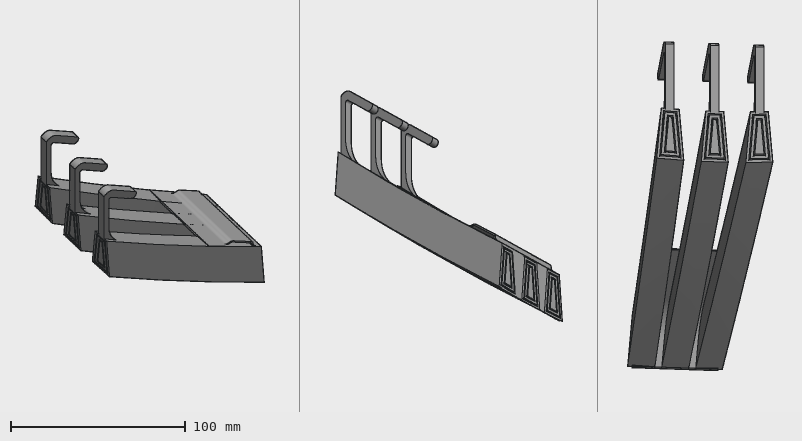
import cadquery as cq
import math

DEPTH = 118.8
FRONT_BOTTOM_Z = 99.7
SAG = 1.5
SECTION_HEIGHT = 29.4
SECTION_BOTTOM_WIDTH = 15.7
SECTION_TOP_WIDTH = 10.5
SHELL_WALL = 1.5
GAP = 0.76
RING_WALL = 1.7
SIDE_TAPER = (SECTION_BOTTOM_WIDTH - SECTION_TOP_WIDTH) / 2 / SECTION_HEIGHT
OVERRUN = 8.5

LEFT, MIDDLE, RIGHT = -1, 0, 1
LOOSE_SIDES = (LEFT, MIDDLE)
FAN_ANGLE = 3.0
HALF_WIDTH = 33.8
SIDE_X = HALF_WIDTH - SECTION_BOTTOM_WIDTH / 2
PIVOT_Y = SIDE_X / math.tan(math.radians(FAN_ANGLE))

TOTAL_HEIGHT = 169.0
HOOK_WIDTH = 5.0
HOOK_SPACING = 26.2
LEG_THICKNESS = 3.5
ARM_THICKNESS = 5.0
ARM_ANGLE = 40.0
BEND_Y = 3.9
BEND_Z = TOTAL_HEIGHT - ARM_THICKNESS
ARM_LENGTH = 20.6
HOOK_INNER_RADIUS = 1.2
HOOK_FOOT_RADIUS = 27.0
FOOT_SINK = 0.2

WEB_THICKNESS = 1.0
PLATE_ANGLE = 38.9
PLATE_BACK_Z = 30.2
PLATE_FRONT_Y = 78.5
WEB_RADIUS = 25.3
PLATE_SLOPE = math.tan(math.radians(PLATE_ANGLE))

BELT_WIDTH = 48.7
BELT_THICKNESS = 1.0
BELT_CENTRE_Y = 103.5
BELT_FLAT = 16.9
BELT_CREST_RADIUS = 3.7
BELT_FOOT_RADIUS = 4.2
BELT_BEND = 48.5


def underside_z(y):
    """Height of the middle finger's underside, a shallow parabola."""
    t = y / DEPTH
    return FRONT_BOTTOM_Z * (1 - t) - 4 * SAG * t * (1 - t)


def plate_top_z(y):
    """Height of the plate's flat top."""
    return PLATE_BACK_Z + (DEPTH - y) * PLATE_SLOPE


def turn(angle, radius):
    """Offset to the point of a circle at an angle measured from straight up, clockwise."""
    a = math.radians(angle)
    return radius * math.sin(a), radius * math.cos(a)


def shifted(point, offset):
    return point[0] + offset[0], point[1] + offset[1]


def finger_section(y, inset):
    """Trapezoid across the finger at depth y, with every side moved in by the inset."""
    low = inset
    high = SECTION_HEIGHT - inset
    slant_inset = inset * math.hypot(1, SIDE_TAPER)
    low_half = SECTION_BOTTOM_WIDTH / 2 - low * SIDE_TAPER - slant_inset
    high_half = SECTION_BOTTOM_WIDTH / 2 - high * SIDE_TAPER - slant_inset
    z = underside_z(y)
    corners = [(-low_half, z + low), (low_half, z + low), (high_half, z + high), (-high_half, z + high)]
    return cq.Wire.makePolygon([cq.Vector(x, y, height) for x, height in corners], close=True)


def trim_ends(body):
    """Cut a body flat at the front and the back."""
    slab = cq.Workplane("XY").box(4 * HALF_WIDTH, DEPTH, 4 * TOTAL_HEIGHT)
    return body.intersect(slab.translate((0, DEPTH / 2, 0)))


def beam(side, inset):
    """Solid finger of reduced section; side is LEFT, MIDDLE or RIGHT."""
    stations = (-OVERRUN, DEPTH / 2, DEPTH + OVERRUN)
    solid = cq.Solid.makeLoft([finger_section(y, inset) for y in stations])
    pivot = (0, PIVOT_Y, 0)
    turned = cq.Workplane(obj=solid).rotate(pivot, (0, PIVOT_Y, 1), side * FAN_ANGLE)
    return trim_ends(turned)


def hook(side):
    """Upright leg, bent arm with a round tip, and a wide fillet down onto the finger."""
    bend = (BEND_Y, BEND_Z)
    along = turn(90 + ARM_ANGLE, ARM_LENGTH)
    arm_top = shifted(bend, turn(ARM_ANGLE, ARM_THICKNESS))
    tip_bottom = shifted(bend, along)
    tip_top = shifted(arm_top, along)
    tip_centre = shifted(tip_bottom, turn(ARM_ANGLE, ARM_THICKNESS / 2))
    tip_end = shifted(tip_centre, turn(90 + ARM_ANGLE, ARM_THICKNESS / 2))
    bend_start = (0, BEND_Z + math.sqrt(ARM_THICKNESS**2 - BEND_Y**2))
    inner_corner = (LEG_THICKNESS, BEND_Z + (BEND_Y - LEG_THICKNESS) * math.tan(math.radians(ARM_ANGLE)))

    top_z = SECTION_HEIGHT + underside_z(0)
    foot_corner = (LEG_THICKNESS, SECTION_HEIGHT + underside_z(LEG_THICKNESS))
    foot_end_y = LEG_THICKNESS + HOOK_FOOT_RADIUS / 2
    foot_end = (foot_end_y, SECTION_HEIGHT + underside_z(foot_end_y) - FOOT_SINK)
    foot_end_low = (foot_end_y, foot_end[1] - SHELL_WALL / 2)
    front_low = (0, top_z - SHELL_WALL / 2)

    body = (
        cq.Workplane("YZ")
        .moveTo(*front_low)
        .lineTo(*bend_start)
        .threePointArc((BEND_Y, TOTAL_HEIGHT), arm_top)
        .lineTo(*tip_top)
        .threePointArc(tip_end, tip_bottom)
        .lineTo(*inner_corner)
        .lineTo(*foot_corner)
        .lineTo(*foot_end)
        .lineTo(*foot_end_low)
        .close()
        .extrude(HOOK_WIDTH / 2, both=True)
    )
    body = body.edges(cq.NearestToPointSelector((0, *inner_corner))).fillet(HOOK_INNER_RADIUS)
    body = body.edges(cq.NearestToPointSelector((0, *foot_corner))).fillet(HOOK_FOOT_RADIUS)
    return body.translate((side * HOOK_SPACING, 0, 0))


def web():
    """Plate over the fingers, and the back wall that drops from it between the fingers."""
    wall_y = DEPTH - WEB_THICKNESS
    end_drop = turn(180 + PLATE_ANGLE, WEB_THICKNESS)
    front_top = (PLATE_FRONT_Y, plate_top_z(PLATE_FRONT_Y))
    plate_drop = WEB_THICKNESS / math.cos(math.radians(PLATE_ANGLE))
    inner_corner = (wall_y, plate_top_z(wall_y) - plate_drop)
    outline = [
        (DEPTH, 0),
        (DEPTH, PLATE_BACK_Z),
        front_top,
        shifted(front_top, end_drop),
        inner_corner,
        (wall_y, underside_z(wall_y)),
    ]
    bent = cq.Workplane("YZ").polyline(outline).close().extrude(HALF_WIDTH, both=True)
    bent = bent.edges(cq.NearestToPointSelector((0, *inner_corner))).fillet(WEB_RADIUS)

    front_half = SIDE_X + SECTION_TOP_WIDTH / 2
    back_half = front_half - DEPTH * math.tan(math.radians(FAN_ANGLE))
    plan = [(-front_half, 0), (front_half, 0), (back_half, DEPTH), (-back_half, DEPTH)]
    return bent.intersect(cq.Workplane("XY").polyline(plan).close().extrude(TOTAL_HEIGHT))


def belt_mound(depth_inside):
    """Low mound with S-curved ends, set in from the belt's outer face by the given depth."""
    crest = BELT_CREST_RADIUS - depth_inside
    foot = BELT_FOOT_RADIUS + depth_inside
    reach = BELT_CREST_RADIUS + BELT_FOOT_RADIUS
    across, up = turn(BELT_BEND, reach)
    crest_centre = (BELT_FLAT / 2, BELT_FOOT_RADIUS - up)
    foot_centre = (BELT_FLAT / 2 + across, BELT_FOOT_RADIUS)
    right = [
        shifted(crest_centre, turn(0, crest)),
        shifted(crest_centre, turn(BELT_BEND / 2, crest)),
        shifted(crest_centre, turn(BELT_BEND, crest)),
        shifted(foot_centre, turn(180 + BELT_BEND / 2, foot)),
        shifted(foot_centre, turn(180, foot)),
    ]
    left = [(-u, v) for u, v in right]
    plate_plane = cq.Plane(
        origin=(0, BELT_CENTRE_Y, plate_top_z(BELT_CENTRE_Y)),
        xDir=(0, 1, -PLATE_SLOPE),
        normal=(1, 0, 0),
    )
    return (
        cq.Workplane(plate_plane)
        .moveTo(*left[0])
        .lineTo(*right[0])
        .threePointArc(right[1], right[2])
        .threePointArc(right[3], right[4])
        .lineTo(*left[4])
        .threePointArc(left[3], left[2])
        .threePointArc(left[1], left[0])
        .close()
        .extrude(BELT_WIDTH / 2, both=True)
    )


def belt():
    """Band with a tunnel under it, its feet running smoothly into the plate."""
    return belt_mound(0).cut(belt_mound(BELT_THICKNESS))


def finger_shell(side):
    """Outer body of a finger, with its hook."""
    return beam(side, 0).union(hook(side)).cut(beam(side, SHELL_WALL))


def right_frame():
    """Outer body of the right finger, carrying the web and the belt loop across the other two."""
    body = beam(RIGHT, 0).union(web()).union(belt()).union(hook(RIGHT))
    for side in LOOSE_SIDES:
        body = body.cut(beam(side, 0))
    return body.cut(beam(RIGHT, SHELL_WALL))


def ring(side):
    """Tube that lies loose in a finger's shell."""
    outside = SHELL_WALL + GAP
    return beam(side, outside).cut(beam(side, outside + RING_WALL))


def core(side):
    """Bar that lies loose in a ring."""
    return beam(side, SHELL_WALL + RING_WALL + 2 * GAP)


bodies = right_frame().solids().vals()
for side in LOOSE_SIDES:
    bodies += finger_shell(side).solids().vals()
for side in (LEFT, MIDDLE, RIGHT):
    bodies += ring(side).solids().vals()
    bodies += core(side).solids().vals()

result = cq.Compound.makeCompound(bodies)